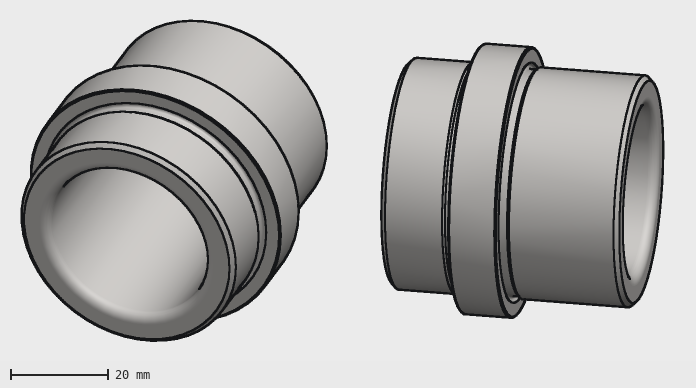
import math

import cadquery as cq

length = 50.0
flange_diameter = 56.0
body_diameter = 48.0
bore_diameter = 35.0
flange_start = 15.0
flange_width = 10.0
end_chamfer = 1.0
rim_chamfer = 0.3
bore_mouth_radius = 2.0

groove_width = 2.0
groove_depth = 0.5
undercut_radius = 0.55
undercut_sweep = math.radians(135)

flange_end = flange_start + flange_width
flange_radius = flange_diameter / 2
body_radius = body_diameter / 2
bore_radius = bore_diameter / 2
groove_radius = body_radius - groove_depth


def relief_groove(face, outward):
    """Ring cut at a flange face; outward is the Y direction away from the flange.

    A 45 degree run-out leads from the body down to the groove floor. An arc centred
    level with the face undercuts the flange and leaves it along a 45 degree wall.
    """
    body_edge = face + outward * groove_width
    arc_centre_radius = groove_radius + undercut_radius

    def arc_point(angle):
        return (
            arc_centre_radius - undercut_radius * math.cos(angle),
            face - outward * undercut_radius * math.sin(angle),
        )

    wall_top = (arc_centre_radius + undercut_radius * math.sqrt(2), face)
    return (
        cq.Workplane("XY")
        .moveTo(body_radius, body_edge)
        .lineTo(groove_radius, body_edge - outward * groove_depth)
        .lineTo(groove_radius, face)
        .threePointArc(arc_point(undercut_sweep / 2), arc_point(undercut_sweep))
        .lineTo(*wall_top)
        .lineTo(wall_top[0], body_edge)
        .close()
        .revolve(360, (0, 0, 0), (0, 1, 0))
    )


sleeve_profile = [
    (bore_radius, 0),
    (body_radius - end_chamfer, 0),
    (body_radius, end_chamfer),
    (body_radius, flange_start),
    (flange_radius - rim_chamfer, flange_start),
    (flange_radius, flange_start + rim_chamfer),
    (flange_radius, flange_end - rim_chamfer),
    (flange_radius - rim_chamfer, flange_end),
    (body_radius, flange_end),
    (body_radius, length - end_chamfer),
    (body_radius - end_chamfer, length),
    (bore_radius, length),
]
sleeve = (
    cq.Workplane("XY")
    .polyline(sleeve_profile)
    .close()
    .revolve(360, (0, 0, 0), (0, 1, 0))
)

bore_mouths = cq.selectors.RadiusNthSelector(0)
sleeve = sleeve.faces("<Y or >Y").edges(bore_mouths).fillet(bore_mouth_radius)

result = sleeve.cut(relief_groove(flange_start, -1)).cut(relief_groove(flange_end, 1))